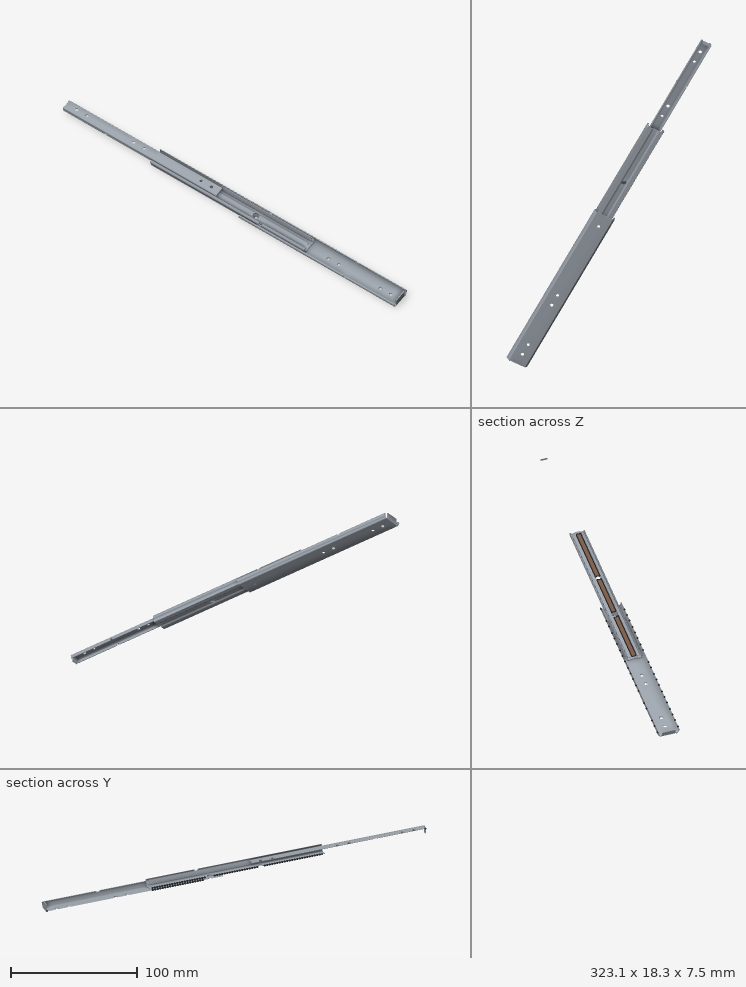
import cadquery as cq
import math


total_length = 323.1
toe_length = 0.5
member_length = 150.0
inner_start = 0.0
inner_length = 148.0
outer_end = total_length - toe_length
outer_start = outer_end - member_length
middle_start = 86.0
middle_end = 235.0
cage_setback = 2.2
upper_cage_start = middle_start + cage_setback
upper_cage_end = middle_end - cage_setback
lower_cage_start = 188.8
lower_cage_end = upper_cage_end

sheet = 0.8
cage_sheet = 0.3
clearance = 0.05

outer_half_width = 9.15
outer_web_half = 7.1
outer_corner_half = 7.6
outer_corner_z = 0.4
outer_web_inner_half = 7.2
outer_bend_half = 8.1
outer_bend_z = 1.4
outer_height = 4.5
outer_lip_half = 8.7
outer_race_z = 3.05

middle_bottom = sheet + cage_sheet + clearance
middle_top = 7.5
middle_wall = 0.9
middle_neck_z = 3.8
middle_groove_edge_half = 6.4
middle_groove_half = 6.1
middle_neck_half = 6.95
middle_ledge_z = 4.3
middle_bulge_half = 7.6
middle_bulge_z = 5.6
middle_shoulder_half = 6.8
middle_shoulder_z = 7.1
middle_lip_half = 6.5
middle_lip_inner_half = 6.1
middle_inner_neck_half = 5.9
middle_inner_foot_half = 5.2
ridge_top_half = 1.7
ridge_foot_half = 3.0
ridge_height = 0.8

inner_top = 7.5
inner_bottom = 3.9
inner_web_half = 3.4
inner_web_underside_half = 2.9
shoulder_mid_half = 4.4
shoulder_mid_z = 7.0
shoulder_half = 4.65
shoulder_end_z = 6.2
inner_groove_half = 4.3
inner_groove_z = 5.4
inner_foot_half = 4.6
inner_foot_z = 4.6
inner_wall = 0.6

upper_foot_half = 5.1
upper_foot_top = 2.8
upper_arm_half = 6.3
upper_arm_top = 6.0
lower_arm_half = 7.2
lower_arm_top = 3.7
lower_foot_half = 6.7

screw_diameter = 2.8
rivet_diameter = 2.3
rivet_sink_diameter = 3.4
access_diameter = 5.4
screw_clearance = 1.0
inner_first_hole = inner_start + 10.2
inner_screw_offsets = (0, 55, 130)
inner_rivet_offsets = (10, 65, 120)
outer_last_hole = outer_end - 9.4
outer_screw_offsets = (0, 50)
outer_rivet_offsets = (10, 60, 130)
inner_screws = [inner_first_hole + offset for offset in inner_screw_offsets]
inner_rivets = [inner_first_hole + offset for offset in inner_rivet_offsets]
outer_screws = [outer_last_hole - offset for offset in outer_screw_offsets]
outer_rivets = [outer_last_hole - offset for offset in outer_rivet_offsets]
access_holes = [
    (inner_screws[-1], screw_diameter + screw_clearance),
    (outer_rivets[-1], access_diameter),
]

inner_tab_half = 2.8
inner_bend = 1.2
inner_tab_bottom = 2.0
outer_tab_half = 5.5
outer_tab_top = 6.2
toe_y = 6.4
toe_width = 0.8

middle_notch_x = 192.4
middle_notch_length = 3.0
middle_notch_depth = 2.0
outer_notch_x = 275.3
outer_notch_length = 3.0
outer_notch_depth = 1.2
lug_x = 41.0
lug_length = 1.0
relief_length = 2.4
lug_height = 0.8
relief_height = 1.1
lug_half = 5.2


def box(x_range, y_range, z_range):
    """Block between the given limits."""
    (x0, x1), (y0, y1), (z0, z1) = x_range, y_range, z_range
    return cq.Workplane("XY").box(x1 - x0, y1 - y0, z1 - z0, centered=False).translate((x0, y0, z0))


def mirrored(half):
    """Join a +Y half to its mirror image."""
    return half.union(half.mirror("XZ"))


def half_section(start):
    """Workplane across the slide, with Y to the right and Z up."""
    return cq.Workplane("YZ", origin=(start, 0, 0))


def drill(body, positions, diameter):
    """Vertical holes through the whole body on its centreline."""
    for x in positions:
        body = body.cut(cq.Workplane("XY").center(x, 0).circle(diameter / 2).extrude(middle_top + 1))
    return body


def countersink(body, positions, top):
    """Conical rivet holes opening upward, from the web underside to its top face."""
    for x in positions:
        cone = cq.Solid.makeCone(
            rivet_diameter / 2, rivet_sink_diameter / 2, sheet, pnt=cq.Vector(x, 0, top - sheet)
        )
        body = body.cut(cq.Workplane(cone))
    return body


def make_outer():
    """Wide channel open upward, flanges rounded around the lower balls, stop at its +X end."""
    half = (
        half_section(outer_start)
        .lineTo(outer_web_half, 0)
        .lineTo(outer_corner_half, outer_corner_z)
        .lineTo(outer_bend_half, outer_bend_z)
        .threePointArc((outer_half_width, outer_race_z), (outer_lip_half, outer_height))
        .lineTo(outer_lip_half - sheet, outer_height)
        .threePointArc((outer_half_width - sheet, outer_race_z), (outer_web_inner_half, sheet))
        .lineTo(0, sheet)
        .close()
        .extrude(member_length)
    )
    body = mirrored(half)
    body = body.union(
        box((outer_end - sheet, outer_end), (-outer_tab_half, outer_tab_half), (0, outer_tab_top))
    )
    body = body.union(
        box((outer_end - sheet, total_length), (toe_y - toe_width / 2, toe_y + toe_width / 2), (0, sheet))
    )
    body = body.cut(
        box(
            (outer_notch_x - outer_notch_length / 2, outer_notch_x + outer_notch_length / 2),
            (-outer_half_width, outer_half_width),
            (outer_height - outer_notch_depth, outer_height),
        )
    )
    body = drill(body, outer_screws, screw_diameter)
    return countersink(body, outer_rivets, sheet)


def make_middle():
    """Channel open upward: grooved outside for the lower balls, bulged for the upper balls."""
    groove_z = (middle_bottom + middle_neck_z) / 2
    half = (
        half_section(middle_start)
        .moveTo(0, middle_bottom + ridge_height)
        .lineTo(ridge_top_half, middle_bottom + ridge_height)
        .lineTo(ridge_foot_half, middle_bottom)
        .lineTo(middle_groove_edge_half, middle_bottom)
        .threePointArc((middle_groove_half, groove_z), (middle_groove_edge_half, middle_neck_z))
        .lineTo(middle_neck_half, middle_ledge_z)
        .threePointArc((middle_bulge_half, middle_bulge_z), (middle_shoulder_half, middle_shoulder_z))
        .lineTo(middle_lip_half, middle_top)
        .lineTo(middle_lip_inner_half, middle_top)
        .threePointArc(
            (middle_bulge_half - middle_wall, middle_bulge_z), (middle_inner_neck_half, middle_neck_z)
        )
        .lineTo(middle_inner_foot_half, middle_bottom + sheet)
        .lineTo(ridge_foot_half, middle_bottom + sheet)
        .lineTo(ridge_top_half, middle_bottom + sheet + ridge_height)
        .lineTo(0, middle_bottom + sheet + ridge_height)
        .close()
        .extrude(middle_end - middle_start)
    )
    body = mirrored(half).cut(
        box(
            (middle_notch_x - middle_notch_length / 2, middle_notch_x + middle_notch_length / 2),
            (-middle_bulge_half, middle_bulge_half),
            (middle_top - middle_notch_depth, middle_top),
        )
    )
    for x, diameter in access_holes:
        body = drill(body, [x], diameter)
    return body


def make_inner_tab():
    """End tab of the inner channel, bent down from its web with a round bend."""
    bend_end = inner_start + inner_bend
    bend_z = inner_top - inner_bend
    diagonal = math.sqrt(0.5)
    outer_reach = inner_bend * diagonal
    inner_reach = (inner_bend - sheet) * diagonal
    return (
        cq.Workplane("XZ")
        .moveTo(bend_end, inner_top)
        .threePointArc((bend_end - outer_reach, bend_z + outer_reach), (inner_start, bend_z))
        .lineTo(inner_start, inner_tab_bottom)
        .lineTo(inner_start + sheet, inner_tab_bottom)
        .lineTo(inner_start + sheet, bend_z)
        .threePointArc((bend_end - inner_reach, bend_z + inner_reach), (bend_end, inner_top - sheet))
        .close()
        .extrude(inner_tab_half, both=True)
    )


def make_inner():
    """Narrow channel open downward, grooved outside for the upper balls, stop at its -X end."""
    half = (
        half_section(inner_start)
        .moveTo(0, inner_top)
        .lineTo(inner_web_half, inner_top)
        .threePointArc((shoulder_mid_half, shoulder_mid_z), (shoulder_half, shoulder_end_z))
        .threePointArc((inner_groove_half, inner_groove_z), (inner_foot_half, inner_foot_z))
        .lineTo(inner_foot_half, inner_bottom)
        .lineTo(inner_foot_half - inner_wall, inner_bottom)
        .lineTo(inner_foot_half - inner_wall, inner_foot_z)
        .threePointArc(
            (inner_groove_half - inner_wall, inner_groove_z), (shoulder_half - sheet, shoulder_end_z)
        )
        .lineTo(inner_web_underside_half, inner_top - sheet)
        .lineTo(0, inner_top - sheet)
        .close()
        .extrude(inner_length)
    )
    body = mirrored(half)
    tab_width = (-inner_tab_half, inner_tab_half)
    body = body.cut(box((inner_start, inner_start + inner_bend), tab_width, (inner_bottom, inner_top)))
    body = body.union(make_inner_tab())
    lug_range = (lug_x - lug_length / 2, lug_x + lug_length / 2)
    relief_range = (lug_x - relief_length / 2, lug_x + relief_length / 2)
    lug_bottom = inner_bottom + relief_height
    body = body.cut(box(relief_range, (-inner_foot_half, inner_foot_half), (inner_bottom, lug_bottom)))
    lug = box(lug_range, (inner_groove_half - inner_wall / 2, lug_half), (lug_bottom, lug_bottom + lug_height))
    body = body.union(mirrored(lug))
    body = drill(body, inner_screws, screw_diameter)
    return drill(body, inner_rivets, rivet_diameter)


def make_upper_cage():
    """Thin strip lying on the middle web and over its ridge, with arms beside the inner channel."""
    floor = middle_bottom + sheet
    half = (
        half_section(upper_cage_start)
        .moveTo(0, floor + ridge_height)
        .lineTo(ridge_top_half, floor + ridge_height)
        .lineTo(ridge_foot_half, floor)
        .lineTo(upper_foot_half, floor)
        .lineTo(upper_foot_half, upper_foot_top)
        .lineTo(upper_arm_half, upper_arm_top)
        .lineTo(upper_arm_half - cage_sheet, upper_arm_top)
        .lineTo(upper_foot_half - cage_sheet, upper_foot_top)
        .lineTo(upper_foot_half - cage_sheet, floor + cage_sheet)
        .lineTo(ridge_foot_half, floor + cage_sheet)
        .lineTo(ridge_top_half, floor + cage_sheet + ridge_height)
        .lineTo(0, floor + cage_sheet + ridge_height)
        .close()
        .extrude(upper_cage_end - upper_cage_start)
    )
    body = mirrored(half)
    for x, diameter in access_holes:
        body = drill(body, [x], diameter)
    return body


def make_lower_cage():
    """Thin strip lying on the outer web, with arms between the outer and middle flanges."""
    rise = lower_arm_half - lower_foot_half
    half = (
        half_section(lower_cage_start)
        .moveTo(0, sheet)
        .lineTo(lower_foot_half, sheet)
        .lineTo(lower_arm_half, sheet + rise)
        .lineTo(lower_arm_half, lower_arm_top)
        .lineTo(lower_arm_half - cage_sheet, lower_arm_top)
        .lineTo(lower_arm_half - cage_sheet, sheet + rise)
        .lineTo(lower_foot_half - cage_sheet, sheet + cage_sheet)
        .lineTo(0, sheet + cage_sheet)
        .close()
        .extrude(lower_cage_end - lower_cage_start)
    )
    return mirrored(half)


outer_channel = make_outer()
middle_channel = make_middle()
inner_channel = make_inner()
upper_cage = make_upper_cage()
lower_cage = make_lower_cage()

result = cq.Compound.makeCompound(
    [
        outer_channel.val(),
        middle_channel.val(),
        inner_channel.val(),
        upper_cage.val(),
        lower_cage.val(),
    ]
)